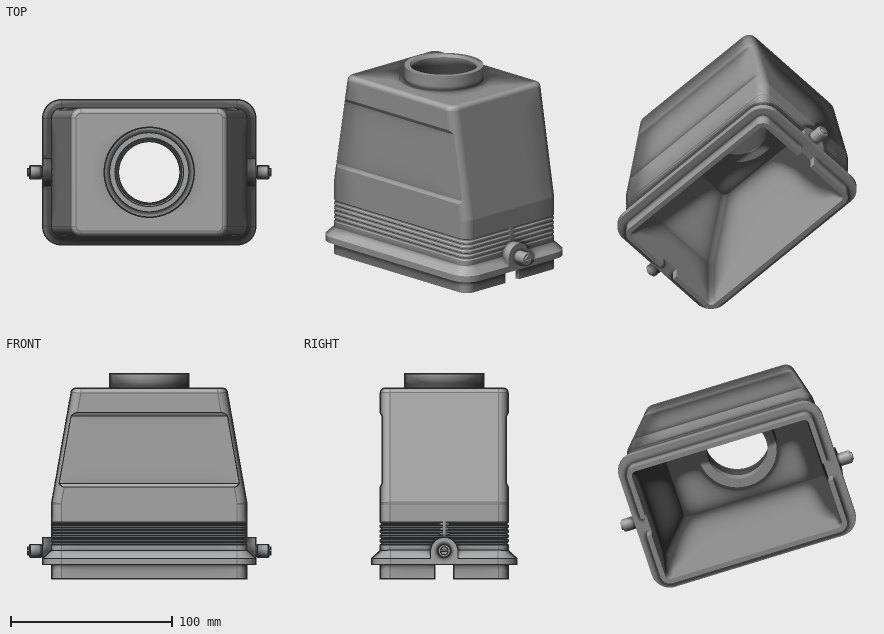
import cadquery as cq
import math

height = 127.0
body_length = 121.0
body_width = 79.3
corner_radius = 6.0
body_top = 118.1
bend_height = 47.0
end_slope_angle = 10.0
bend_radius = 6.0
top_edge_radius = 3.2
wall = 3.0

flange_length = 132.1
flange_width = 90.0
flange_bottom = 8.7
flange_rim_top = 12.6
flange_slope_top = 17.8

recess_bottom = 56.9
recess_top = 103.0
recess_depth = 1.13

groove_count = 5
groove_pitch = 3.0
groove_width = 2.1
groove_depth = 0.68
lowest_groove_bottom = 20.9
bridge_width = 2.1
bridge_base_width = 6.6
cutter_margin = 3.0

collar_radius = 24.5
bore_radius = 20.2
bore_mouth_radius = 21.2
bore_mouth_depth = 1.5
bore_bottom = 109.1
passage_radius = 19.0
sleeve_bottom = 101.7
spotface_radius = 28.0
spotface_floor_radius = 27.7
spotface_depth = 0.3

peg_height = 17.3
lug_radius = 8.5
peg_radius = 4.0
peg_end = 74.2
peg_chamfer = 0.3
peg_chamfer_length = 0.8
peg_neck_radius = 3.6
peg_neck_length = 1.0
stud_radius = 2.4
stud_slot_width = 1.0
overall_length = 150.5

notch_width = 11.6


def rounded_block(length, width, radius, bottom, top):
    """Upright block with rounded vertical corners."""
    block = cq.Workplane("XY").box(length, width, top - bottom, centered=(True, True, False))
    return block.edges("|Z").fillet(radius).translate((0, 0, bottom))


def tapered_block(length, width, radius, bottom, top, inset):
    """Rounded block whose sides lean inwards by inset between bottom and top."""
    outline = cq.Sketch().rect(length, width).vertices().fillet(radius)
    taper = math.degrees(math.atan2(inset, top - bottom))
    return cq.Workplane("XY").workplane(offset=bottom).placeSketch(outline).extrude(top - bottom, taper=taper)


def hood_block(offset):
    """Round-cornered hood shape with sloping ends, its sides and top moved inwards by offset."""
    half_length = body_length / 2 - offset
    width = body_width - 2 * offset
    top = body_top - offset
    slope = math.tan(math.radians(end_slope_angle))
    half_top = half_length - slope * (top - bend_height)
    profile = [
        (-half_length, 0),
        (half_length, 0),
        (half_length, bend_height),
        (half_top, top),
        (-half_top, top),
        (-half_length, bend_height),
    ]
    block = cq.Workplane("XZ").polyline(profile).close().extrude(width / 2, both=True)
    block = block.edges("|Y").edges("not(<Z or >Z)").fillet(bend_radius)
    return block.faces("<Y or >Y").edges("not(|X)").fillet(corner_radius - offset)


def side_recess(side):
    """Band with 45-degree upper and lower flanks, cut the full length of one long side."""
    outer = side * body_width / 2
    floor = outer - side * recess_depth
    band = [
        (outer, recess_bottom),
        (floor, recess_bottom + 2 * recess_depth),
        (floor, recess_top - 2 * recess_depth),
        (outer, recess_top),
    ]
    return cq.Workplane("YZ").polyline(band).close().extrude(body_length / 2, both=True)


def grip_groove(bottom):
    """Trapezoidal groove all round, fading out at the bridge on each end."""
    top = bottom + groove_width
    slab_size = (body_length + cutter_margin, body_width + cutter_margin, groove_width)
    slab = cq.Workplane("XY").box(*slab_size, centered=(True, True, False)).translate((0, 0, bottom))
    lower = tapered_block(body_length, body_width, corner_radius, bottom, bottom + groove_depth, groove_depth)
    upper = lower.mirror("XY", (0, 0, bottom + groove_width / 2))
    core = rounded_block(
        body_length - 2 * groove_depth,
        body_width - 2 * groove_depth,
        corner_radius - groove_depth,
        bottom,
        top,
    )
    ring = slab.cut(lower).cut(upper).cut(core)
    face = body_length / 2
    for side in (-1, 1):
        outline = [
            (side * (face - groove_depth), -bridge_base_width / 2),
            (side * face, -bridge_width / 2),
            (side * (face + cutter_margin), -bridge_width / 2),
            (side * (face + cutter_margin), bridge_width / 2),
            (side * face, bridge_width / 2),
            (side * (face - groove_depth), bridge_base_width / 2),
        ]
        bridge = cq.Workplane("XY").workplane(offset=bottom).polyline(outline).close().extrude(groove_width)
        ring = ring.cut(bridge)
    return ring


def make_flange():
    """Straight-sided rim with a sloping shoulder up to the body."""
    overhang = (flange_length - body_length) / 2
    radius = corner_radius + overhang
    rim = rounded_block(flange_length, flange_width, radius, flange_bottom, flange_rim_top)
    slope = tapered_block(flange_length, flange_width, radius, flange_rim_top, flange_slope_top, overhang)
    return rim.union(slope)


def peg_and_lug():
    """Lug and stepped locking peg on the +X end."""
    lug_start = body_length / 2 - wall
    lug_end = flange_length / 2
    lug_length = lug_end - lug_start
    lug_plane = cq.Workplane("YZ", origin=(lug_start, 0, peg_height))
    lug = lug_plane.circle(lug_radius).extrude(lug_length)
    foot_height = peg_height - flange_bottom
    foot = lug_plane.center(0, -foot_height / 2).rect(2 * lug_radius, foot_height).extrude(lug_length)
    peg_start = lug_end + peg_neck_length
    profile = [
        (lug_end, 0),
        (lug_end, peg_neck_radius),
        (peg_start, peg_neck_radius),
        (peg_start, peg_radius),
        (peg_end - peg_chamfer_length, peg_radius),
        (peg_end, peg_radius - peg_chamfer),
        (peg_end, stud_radius),
        (overall_length / 2, stud_radius),
        (overall_length / 2, 0),
    ]
    peg = cq.Workplane("XZ").polyline(profile).close().revolve(360, (0, 0, 0), (1, 0, 0))
    stud_length = overall_length / 2 - peg_end
    slot = cq.Workplane("XY").box(stud_length, 2 * stud_radius, stud_slot_width)
    peg = peg.cut(slot.translate((peg_end + stud_length / 2, 0, 0)))
    return lug.union(foot).union(peg.translate((0, 0, peg_height)))


def revolve_about_z(profile):
    """Solid of revolution from (radius, height) points."""
    return cq.Workplane("XZ").polyline(profile).close().revolve(360, (0, 0, 0), (0, 1, 0))


def spotface():
    """Shallow conical-edged recess in the top."""
    profile = [
        (0, body_top - spotface_depth),
        (spotface_floor_radius, body_top - spotface_depth),
        (spotface_radius, body_top),
        (0, body_top),
    ]
    return revolve_about_z(profile)


def cable_bore():
    """Stepped bore with a chamfered mouth."""
    profile = [
        (0, sleeve_bottom),
        (passage_radius, sleeve_bottom),
        (passage_radius, bore_bottom),
        (bore_radius, bore_bottom),
        (bore_radius, height - bore_mouth_depth),
        (bore_mouth_radius, height),
        (0, height),
    ]
    return revolve_about_z(profile)


result = hood_block(0).faces(">Z").edges().fillet(top_edge_radius)
for side in (-1, 1):
    result = result.cut(side_recess(side))
for index in range(groove_count):
    result = result.cut(grip_groove(lowest_groove_bottom + index * groove_pitch))
result = result.cut(spotface()).union(make_flange())

lug_and_peg = peg_and_lug()
result = result.union(lug_and_peg).union(lug_and_peg.mirror("YZ"))
result = result.cut(hood_block(wall))

sleeve_length = height - sleeve_bottom
sleeve = cq.Workplane("XY").workplane(offset=sleeve_bottom).circle(collar_radius).extrude(sleeve_length)
notches = cq.Workplane("XY").box(body_length, notch_width, flange_bottom, centered=(True, True, False))
result = result.union(sleeve).cut(cable_bore()).cut(notches)